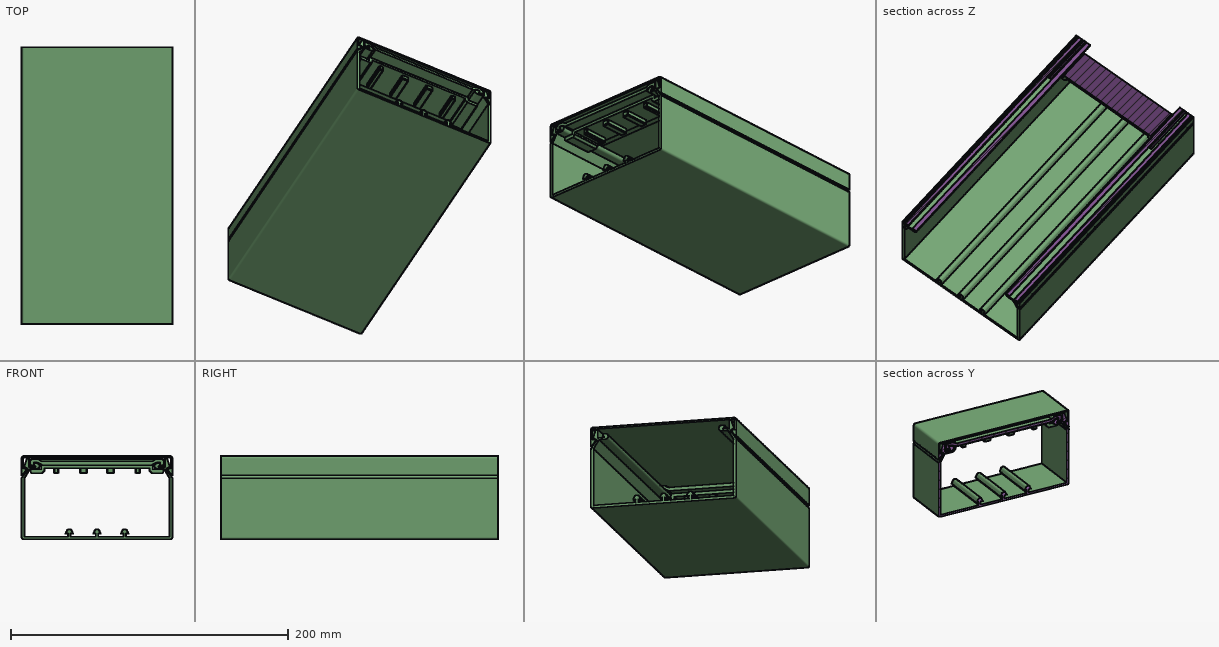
import cadquery as cq

LENGTH = 200.0
WIDTH = 109.0
HEIGHT = 60.2
HALF_WIDTH = WIDTH / 2
FRONT_Y = -LENGTH / 2

WALL = 2.2
FLOOR = 2.0
BASE_CORNER_RADIUS = 1.5
SHOULDER_Z = 44.2
NECK_X = 50.0
NECK_TOP_Z = 50.8
RAIL_INNER_X = 49.0
RAIL_OUTER_X = 50.5
RAIL_TOP_Z = 58.5
BARB_TIP_X = 52.5
BARB_BOTTOM_Z = 52.0
BARB_TOP_Z = 53.0
SHELF_TOP_Z = 52.2
SHELF_BOTTOM_Z = 50.8
SHELF_ROOT_X = 48.2
CURL_POST_X = 44.5
CURL_LIP_X = 45.5
CURL_LIP_Z = 53.5
CURL_TOP_Z = 55.0
CURL_INNER_X = 41.5
CURL_FLAT_X = 43.5

RIB_SPACING = 20.0
RIB_COUNT = 3
RIB_STEM_WIDTH = 2.0
RIB_HEAD_WIDTH = 5.5
RIB_HEAD_BOTTOM_Z = 4.2
RIB_CROWN_WIDTH = 3.5
RIB_CROWN_Z = 6.5
RIB_TOP_Z = 7.5

COVER_WALL = 1.5
COVER_RADIUS = 2.0
COVER_INNER_X = HALF_WIDTH - COVER_WALL
COVER_INNER_Z = HEIGHT - COVER_WALL
SKIRT_BOTTOM_Z = 46.5
SKIRT_EDGE_X = 53.5
WEDGE_TIP_X = 50.5
WEDGE_TIP_Z = 50.5
WEDGE_TOP_Z = 51.5

CLIP_LENGTH = 40.0
STRIP_TOP_Z = 56.2
STRIP_BOTTOM_Z = 53.5
HOOK_OUTER_X = 48.2
HOOK_INNER_X = 45.5
HOOK_TIP_Z = 53.2
HOOK_TOP_Z = 57.8
HOOK_UNDERSIDE_Z = 55.5
HOOK_CHAMFER = 0.8
ARM_FLAT_X = 42.5
ARM_END_X = 39.5
ARM_UNDERSIDE_X = 43.5

BLOCK_LENGTH = 24.0
BLOCK_SETBACK = (CLIP_LENGTH - BLOCK_LENGTH) / 2
BLOCK_SIDE_X = 40.5
BLOCK_BOTTOM_Z = 51.2
FOOT_OUTER_X = 47.8
FOOT_INNER_X = 37.8
FOOT_TOP_Z = 50.5
FOOT_BOTTOM_Z = 47.5
FOOT_OUTER_CHAMFER = 0.8
FOOT_INNER_CHAMFER = 1.8

PAD_SPACING = 19.5
OUTER_PAD_WIDTH = 3.5
INNER_PAD_WIDTH = 5.5
PAD_CHAMFER = 0.5
PAD_LENGTH = 20.0


def section(y):
    """Sketch plane at the given Y: local x is +X, local y is +Z and the normal points to -Y."""
    return cq.Workplane(cq.Plane(origin=(0, y, 0), xDir=(1, 0, 0), normal=(0, -1, 0)))


def mirrored_outline(half_points):
    """Full closed point list from the +X half of an outline."""
    return half_points + [(-x, z) for x, z in reversed(half_points)]


def extrude_along_y(sketch, length):
    """Close an outline and extrude it towards +Y."""
    return sketch.close().extrude(-length)


def with_mirror_copy(solid):
    """Join a shape with its reflection in the plane X = 0."""
    return solid.union(solid.mirror("YZ"))


def make_tub():
    """Floor and straight side walls."""
    outer = (
        cq.Workplane()
        .box(WIDTH, LENGTH, SHOULDER_Z, centered=(True, True, False))
        .edges("|Y and <Z")
        .fillet(BASE_CORNER_RADIUS)
    )
    cavity = (
        cq.Workplane()
        .box(WIDTH - 2 * WALL, LENGTH, HEIGHT, centered=(True, True, False))
        .translate((0, 0, FLOOR))
    )
    return outer.cut(cavity)


def make_rail():
    """Inclined neck, barbed upright rail, shelf and curl along the +X side of the channel."""
    sketch = (
        section(FRONT_Y)
        .moveTo(HALF_WIDTH, SHOULDER_Z)
        .lineTo(NECK_X, NECK_TOP_Z)
        .lineTo(BARB_TIP_X, BARB_BOTTOM_Z)
        .lineTo(BARB_TIP_X, BARB_TOP_Z)
        .lineTo(RAIL_OUTER_X, RAIL_TOP_Z)
        .lineTo(RAIL_INNER_X, RAIL_TOP_Z)
        .lineTo(RAIL_INNER_X, SHELF_TOP_Z)
        .lineTo(CURL_POST_X, SHELF_TOP_Z)
        .lineTo(CURL_LIP_X, CURL_LIP_Z)
        .lineTo(CURL_LIP_X, CURL_TOP_Z)
        .lineTo(CURL_FLAT_X, CURL_TOP_Z)
        .threePointArc((CURL_INNER_X, (CURL_TOP_Z + SHELF_BOTTOM_Z) / 2), (CURL_FLAT_X, SHELF_BOTTOM_Z))
        .lineTo(SHELF_ROOT_X, SHELF_BOTTOM_Z)
        .lineTo(HALF_WIDTH - WALL, SHOULDER_Z)
    )
    return extrude_along_y(sketch, LENGTH)


def make_floor_rib(x):
    """Mushroom rib: narrow stem, tapered head and rounded crown."""
    stem = RIB_STEM_WIDTH / 2
    head = RIB_HEAD_WIDTH / 2
    crown = RIB_CROWN_WIDTH / 2
    sketch = (
        section(FRONT_Y)
        .moveTo(x - stem, FLOOR / 2)
        .lineTo(x - stem, RIB_HEAD_BOTTOM_Z)
        .lineTo(x - head, RIB_HEAD_BOTTOM_Z)
        .lineTo(x - crown, RIB_CROWN_Z)
        .threePointArc((x, RIB_TOP_Z), (x + crown, RIB_CROWN_Z))
        .lineTo(x + head, RIB_HEAD_BOTTOM_Z)
        .lineTo(x + stem, RIB_HEAD_BOTTOM_Z)
        .lineTo(x + stem, FLOOR / 2)
    )
    return extrude_along_y(sketch, LENGTH)


def make_base():
    """Channel with a rail along the top of each side wall and ribs on the floor."""
    base = make_tub().union(with_mirror_copy(make_rail()))
    for i in range(RIB_COUNT):
        base = base.union(make_floor_rib((i - (RIB_COUNT - 1) / 2) * RIB_SPACING))
    return base


def make_cover():
    """Snap-on cover: flat top and two skirts that end in inward wedges."""
    half_outline = [
        (HALF_WIDTH, HEIGHT),
        (HALF_WIDTH, SKIRT_BOTTOM_Z),
        (SKIRT_EDGE_X, SKIRT_BOTTOM_Z),
        (WEDGE_TIP_X, WEDGE_TIP_Z),
        (COVER_INNER_X, WEDGE_TOP_Z),
        (COVER_INNER_X, COVER_INNER_Z),
    ]
    cover = extrude_along_y(section(FRONT_Y).polyline(mirrored_outline(half_outline)), LENGTH)
    return cover.edges("|Y and >Z").fillet(COVER_RADIUS)


def make_clip_strip():
    """Thin strip across the channel with a hook over the curl at each end."""
    half_outline = [
        (ARM_END_X, STRIP_TOP_Z),
        (ARM_FLAT_X, HOOK_TOP_Z),
        (HOOK_OUTER_X - HOOK_CHAMFER, HOOK_TOP_Z),
        (HOOK_OUTER_X, HOOK_TOP_Z - HOOK_CHAMFER),
        (HOOK_OUTER_X, HOOK_TIP_Z + HOOK_CHAMFER),
        (HOOK_OUTER_X - HOOK_CHAMFER, HOOK_TIP_Z),
        (HOOK_INNER_X, HOOK_TIP_Z),
        (HOOK_INNER_X, HOOK_UNDERSIDE_Z),
        (ARM_UNDERSIDE_X, HOOK_UNDERSIDE_Z),
        (ARM_END_X, STRIP_BOTTOM_Z),
    ]
    return extrude_along_y(section(FRONT_Y).polyline(mirrored_outline(half_outline)), CLIP_LENGTH)


def make_clip_block():
    """Deeper block across the clip, with a foot under each shelf of the channel."""
    half_outline = [
        (ARM_FLAT_X, HOOK_TOP_Z),
        (ARM_END_X, STRIP_BOTTOM_Z),
        (BLOCK_SIDE_X, STRIP_BOTTOM_Z),
        (BLOCK_SIDE_X, FOOT_TOP_Z),
        (FOOT_OUTER_X, FOOT_TOP_Z),
        (FOOT_OUTER_X, FOOT_BOTTOM_Z + FOOT_OUTER_CHAMFER),
        (FOOT_OUTER_X - FOOT_OUTER_CHAMFER, FOOT_BOTTOM_Z),
        (FOOT_INNER_X + FOOT_INNER_CHAMFER, FOOT_BOTTOM_Z),
        (FOOT_INNER_X, FOOT_BOTTOM_Z + FOOT_INNER_CHAMFER),
        (FOOT_INNER_X, BLOCK_BOTTOM_Z),
    ]
    sketch = section(FRONT_Y + BLOCK_SETBACK).polyline(mirrored_outline(half_outline))
    return extrude_along_y(sketch, BLOCK_LENGTH)


def make_clip_pad(x, width):
    """Chamfered pad hanging below the clip block, level with the feet."""
    height = STRIP_BOTTOM_Z - FOOT_BOTTOM_Z
    pad = cq.Workplane().box(width, PAD_LENGTH, height, centered=(True, True, False))
    pad = pad.edges("<Z or |Z").chamfer(PAD_CHAMFER)
    return pad.translate((x, FRONT_Y + CLIP_LENGTH / 2, FOOT_BOTTOM_Z))


def make_clip():
    """Retaining clip at one end of the channel, hooked over both curls."""
    clip = make_clip_strip().union(make_clip_block())
    for side in (-1, 1):
        clip = clip.union(make_clip_pad(side * PAD_SPACING / 2, INNER_PAD_WIDTH))
        clip = clip.union(make_clip_pad(side * PAD_SPACING * 3 / 2, OUTER_PAD_WIDTH))
    return clip


base = make_base()
cover = make_cover()
clip = make_clip()
result = cq.Compound.makeCompound([base.val(), cover.val(), clip.val()])